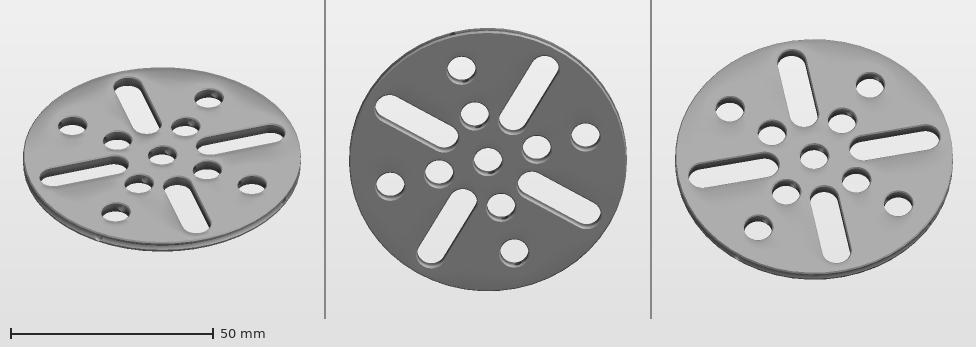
import cadquery as cq

disc_diameter = 68.75
thickness = 3.1
edge_chamfer = 0.3

groove_depth = 0.8
groove_width = 1.5

hole_diameter = 7.0
hole_pitch = 12.5
holes_per_arm = 2
slot_inner_radius = hole_pitch
slot_outer_radius = 28.1

radial_hole_diameter = 2.0
seam_turn = 30

mid_height = thickness / 2
disc_radius = disc_diameter / 2


def hole_centres():
    """Centre hole plus evenly pitched holes along +X, +Y, -X and -Y."""
    centres = [(0, 0)]
    for step in range(1, holes_per_arm + 1):
        reach = step * hole_pitch
        centres += [(reach, 0), (0, reach), (-reach, 0), (0, -reach)]
    return centres


def diagonal_slot(angle):
    """Cutter for one slot lying along a radius at the given angle in degrees."""
    middle = (slot_inner_radius + slot_outer_radius) / 2
    length = slot_outer_radius - slot_inner_radius + hole_diameter
    slot = cq.Workplane("XY").center(middle, 0).slot2D(length, hole_diameter).extrude(thickness)
    return slot.rotate((0, 0, 0), (0, 0, 1), angle)


def rim_groove():
    """Ring of triangular section that cuts the V-groove into the rim."""
    return (
        cq.Workplane("XZ")
        .moveTo(disc_radius, mid_height - groove_width / 2)
        .lineTo(disc_radius - groove_depth, mid_height)
        .lineTo(disc_radius, mid_height + groove_width / 2)
        .close()
        .revolve(360, (0, 0, 0), (0, 1, 0))
    )


def radial_hole(angle):
    """Cutter for a hole drilled from the rim to the disc centre at the given angle in degrees.

    The drill is turned about its own axis so its seam line misses the root of the V-groove.
    """
    drill = (
        cq.Workplane("YZ")
        .transformed(rotate=(0, 0, seam_turn))
        .circle(radial_hole_diameter / 2)
        .extrude(disc_radius)
    )
    return drill.translate((0, 0, mid_height)).rotate((0, 0, 0), (0, 0, 1), angle)


result = cq.Workplane("XY").circle(disc_radius).extrude(thickness)
result = result.cut(
    cq.Workplane("XY").pushPoints(hole_centres()).circle(hole_diameter / 2).extrude(thickness)
)
for slot_angle in (45, 135, 225, 315):
    result = result.cut(diagonal_slot(slot_angle))

result = result.faces("|Z").edges().chamfer(edge_chamfer)

result = result.cut(rim_groove())
for drill_angle in (0, 90, 180, 270):
    result = result.cut(radial_hole(drill_angle))